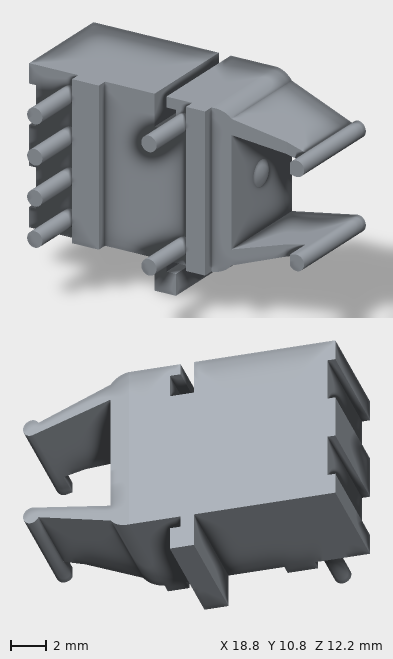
import cadquery as cq
import math


block_height = 10.15
block_depth = 6.95
block_end_x = 12.24
pin_row_spacing = 7.63
pin_pitch = pin_row_spacing / 3
half_height = block_height / 2

notch_depth = 0.47
notch_centers_z = (-pin_pitch, pin_pitch)

rib_height = 0.68
rib_spans_x = ((3.29, 5.08), (10.9, 12.18))
rib_face_y = -(block_depth + rib_height)

hook_start_x = 8.38
hook_neck_end_x = 9.17
hook_end_x = 9.81
hook_length = 2.03
hook_neck_length = 0.68

front_wall_x = 13.37
overall_length = 18.8
tip_radius = 0.5
tip_center_x = overall_length - tip_radius
tip_center_z = 2.91
arm_end_x = 17.85
arm_root_outer_z = 4.53
arm_root_inner_z = 3.53
jaw_back_end_y = -0.95
jaw_front_end_y = -5.88
jaw_front_flat_x = 16.56

pin_radius = 0.5
pin_length = 3.84
first_pin_x = 2.75
second_pin_x = first_pin_x + pin_row_spacing
outer_pin_z = 1.5 * pin_pitch
inner_pin_z = 0.5 * pin_pitch
pin_places = [(first_pin_x, z) for z in (-outer_pin_z, -inner_pin_z, inner_pin_z, outer_pin_z)]
pin_places += [(second_pin_x, z) for z in (-outer_pin_z, outer_pin_z)]

lens_radius = 0.85
lens_rise = 0.25
lens_center_y = -block_depth / 2


def box(x_range, y_range, z_range):
    """Box spanning the given (low, high) ranges."""
    ranges = (x_range, y_range, z_range)
    size = [high - low for low, high in ranges]
    corner = tuple(low for low, high in ranges)
    return cq.Workplane("XY").box(*size, centered=False).translate(corner)


def make_hook(top_z):
    """L-shaped hook hanging from top_z, as deep as the block."""
    neck_z = top_z - hook_neck_length
    bottom_z = top_z - hook_length
    outline = [
        (hook_start_x, top_z),
        (hook_neck_end_x, top_z),
        (hook_neck_end_x, neck_z),
        (hook_end_x, neck_z),
        (hook_end_x, bottom_z),
        (hook_start_x, bottom_z),
    ]
    return cq.Workplane("XZ").polyline(outline).close().extrude(block_depth)


def make_block():
    """Block with notched end, standoff ribs, hook and slot."""
    block = box((0, block_end_x), (-block_depth, 0), (-half_height, half_height))
    for start_x, end_x in rib_spans_x:
        block = block.union(box((start_x, end_x), (rib_face_y, 0), (-half_height, half_height)))
    for z in notch_centers_z:
        notch_z = (z - pin_pitch / 2, z + pin_pitch / 2)
        block = block.cut(box((0, notch_depth), (-block_depth, 0), notch_z))
    return block.union(make_hook(-half_height)).cut(make_hook(half_height))


def circle_point(angle):
    """Point on the upper jaw tip circle, in X and Z."""
    return (tip_center_x + tip_radius * math.cos(angle), tip_center_z + tip_radius * math.sin(angle))


def cap_midpoint(rise, half_chord):
    """Arc midpoint from the crown of a cap to its rim, as (drop below crown, distance from axis)."""
    radius = (half_chord**2 + rise**2) / (2 * rise)
    half_angle = math.asin(half_chord / radius) / 2
    return radius * (1 - math.cos(half_angle)), radius * math.sin(half_angle)


def shoulder_midpoint():
    """Midpoint of the shoulder arc, which leaves the top of the block tangentially."""
    drop, run = cap_midpoint(half_height - arm_root_outer_z, front_wall_x - block_end_x)
    return block_end_x + run, half_height - drop


def lens_midpoint():
    """Point on the dome halfway from crown to rim, as (distance along axis, radius)."""
    drop, offset = cap_midpoint(lens_rise, lens_radius)
    return lens_rise - drop, offset


def extrude_plan(outline):
    """Extrude an XY outline over the upper half of the part."""
    return cq.Workplane("XY").polyline(outline).close().extrude(half_height)


def front_taper():
    """Material removed from the pin side of a jaw arm."""
    return extrude_plan([
        (block_end_x, -block_depth),
        (jaw_front_flat_x, jaw_front_end_y),
        (overall_length, jaw_front_end_y),
        (overall_length, -block_depth),
    ])


def back_taper():
    """Material removed from the back of a jaw."""
    return extrude_plan([(block_end_x, 0), (overall_length, jaw_back_end_y), (overall_length, 0)])


def make_jaw():
    """Upper half of the forked front, from mid-height to the rounded tip."""
    root_dx = tip_center_x - front_wall_x
    root_dz = arm_root_inner_z - tip_center_z
    root_distance = math.hypot(root_dx, root_dz)
    inner_slope = math.atan2(root_dz, root_dx) + math.asin(tip_radius / root_distance)
    tangent_angle = -math.pi / 2 - inner_slope
    tangent_point = circle_point(tangent_angle)
    inner_end_z = arm_root_inner_z - (arm_end_x - front_wall_x) * math.tan(inner_slope)

    junction_angle = math.acos((arm_end_x - tip_center_x) / tip_radius)
    junction = circle_point(junction_angle)

    arm = (
        cq.Workplane("XZ")
        .moveTo(block_end_x, 0)
        .lineTo(block_end_x, half_height)
        .threePointArc(shoulder_midpoint(), (front_wall_x, arm_root_outer_z))
        .lineTo(*junction)
        .lineTo(arm_end_x, inner_end_z)
        .lineTo(front_wall_x, arm_root_inner_z)
        .lineTo(front_wall_x, 0)
        .close()
        .extrude(block_depth)
    )
    tip = (
        cq.Workplane("XZ")
        .moveTo(*junction)
        .threePointArc(circle_point(0), tangent_point)
        .lineTo(arm_end_x, inner_end_z)
        .close()
        .extrude(-rib_face_y)
    )
    return arm.cut(front_taper()).union(tip).cut(back_taper())


def make_housing():
    """Block and both jaws, which mirror each other about mid-height."""
    jaw = make_jaw()
    return make_block().union(jaw).union(jaw.mirror("XY"))


def make_pin(x, z):
    """Round contact pin standing on the pin face."""
    pin = cq.Workplane("XZ").circle(pin_radius).extrude(pin_length)
    return pin.translate((x, -block_depth, z))


def make_lens():
    """Domed lens, a spherical cap on the front wall between the jaws."""
    lens = (
        cq.Workplane("XZ")
        .lineTo(lens_rise, 0)
        .threePointArc(lens_midpoint(), (0, lens_radius))
        .close()
        .revolve(360, (0, 0), (1, 0))
    )
    return lens.translate((front_wall_x, lens_center_y, 0))


housing = make_housing()
pins = [make_pin(x, z) for x, z in pin_places]
lens = make_lens()

result = cq.Compound.makeCompound([housing.val(), *[pin.val() for pin in pins], lens.val()])